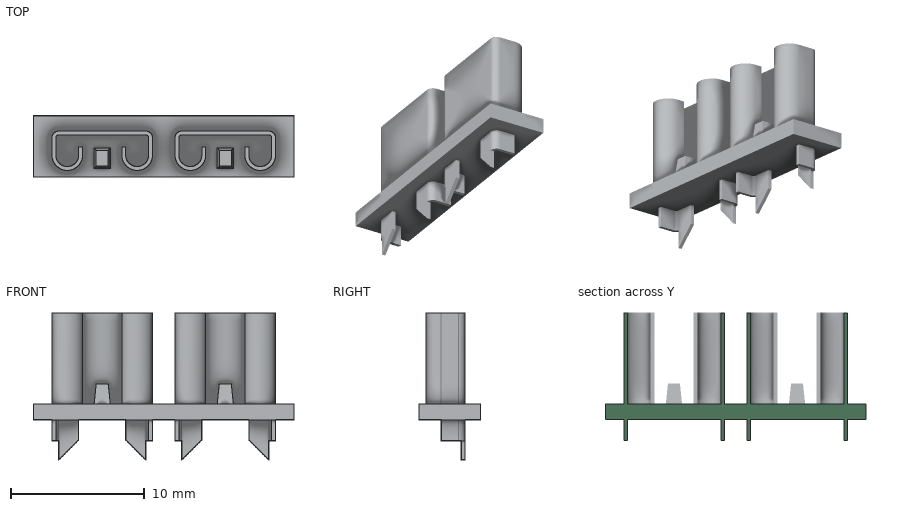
import cadquery as cq

plate_length = 19.5
plate_width = 4.6
plate_thickness = 1.19

clip_pitch = 9.2
clip_width = 7.53
clip_height = 6.8
sheet = 0.3
clip_back_y = 1.15
corner_radius = 0.5
side_flat = 1.29
hook_radius = 1.15
hook_leg = 0.6

side_tail_length = 1.58
pin_width = 1.5
pin_length = 3.0

peg_base_x = 1.2
peg_base_y = 1.55
peg_top_x = 0.9
peg_top_y = 1.17
peg_height = 1.5
peg_center_y = -0.88

clip_side_x = clip_width / 2
plate_bottom_z = -plate_thickness
corner_end_y = clip_back_y - corner_radius
hook_start_y = corner_end_y - side_flat
inner_corner_radius = corner_radius - sheet
inner_hook_radius = hook_radius - sheet
hook_center_x = clip_side_x - hook_radius
corner_x = clip_side_x - corner_radius
SIN_45 = 0.5 ** 0.5


def corner_middle(radius):
    """Point halfway round the bend between the back wall and the +X side wall."""
    return corner_x + radius * SIN_45, corner_end_y + radius * SIN_45


def half_clip():
    """+X half of the clip: back wall, bent corner, side wall and inward hook."""
    leg_end_y = hook_start_y + hook_leg
    profile = (
        cq.Workplane("XY")
        .moveTo(0, clip_back_y)
        .lineTo(corner_x, clip_back_y)
        .threePointArc(corner_middle(corner_radius), (clip_side_x, corner_end_y))
        .lineTo(clip_side_x, hook_start_y)
        .threePointArc(
            (hook_center_x, hook_start_y - hook_radius),
            (hook_center_x - hook_radius, hook_start_y),
        )
        .lineTo(hook_center_x - hook_radius, leg_end_y)
        .lineTo(hook_center_x - inner_hook_radius, leg_end_y)
        .lineTo(hook_center_x - inner_hook_radius, hook_start_y)
        .threePointArc(
            (hook_center_x, hook_start_y - inner_hook_radius),
            (hook_center_x + inner_hook_radius, hook_start_y),
        )
        .lineTo(clip_side_x - sheet, corner_end_y)
        .threePointArc(corner_middle(inner_corner_radius), (corner_x, clip_back_y - sheet))
        .lineTo(0, clip_back_y - sheet)
        .close()
    )
    return profile.extrude(clip_height)


def side_tail():
    """Bent corner and side wall continued below the plate."""
    return (
        cq.Workplane("XY", origin=(0, 0, plate_bottom_z))
        .moveTo(corner_x, clip_back_y)
        .threePointArc(corner_middle(corner_radius), (clip_side_x, corner_end_y))
        .lineTo(clip_side_x, hook_start_y)
        .lineTo(clip_side_x - sheet, hook_start_y)
        .lineTo(clip_side_x - sheet, corner_end_y)
        .threePointArc(corner_middle(inner_corner_radius), (corner_x, clip_back_y - sheet))
        .close()
        .extrude(-side_tail_length)
    )


def pin():
    """Back wall continued below the plate, cut to a point at 45 degrees."""
    tip_z = plate_bottom_z - pin_length
    inner_x = corner_x - pin_width
    return (
        cq.Workplane("XZ", origin=(0, clip_back_y, 0))
        .moveTo(inner_x, plate_bottom_z)
        .lineTo(corner_x, plate_bottom_z)
        .lineTo(corner_x, tip_z)
        .lineTo(inner_x, tip_z + pin_width)
        .close()
        .extrude(sheet)
    )


def peg():
    """Rectangular peg tapering evenly towards its top."""
    return (
        cq.Workplane("XY", origin=(0, peg_center_y, 0))
        .rect(peg_base_x, peg_base_y)
        .workplane(offset=peg_height)
        .rect(peg_top_x, peg_top_y)
        .loft(combine=True)
    )


plate = cq.Workplane("XY").box(
    plate_length, plate_width, plate_thickness, centered=(True, True, False)
).translate((0, 0, plate_bottom_z))

half_contact = [half_clip(), side_tail(), pin()]

result = plate
for center_x in (-clip_pitch / 2, clip_pitch / 2):
    for piece in half_contact:
        result = result.union(piece.translate((center_x, 0, 0)))
        result = result.union(piece.mirror("YZ").translate((center_x, 0, 0)))
    result = result.union(peg().translate((center_x, 0, 0)))
result = result.clean()